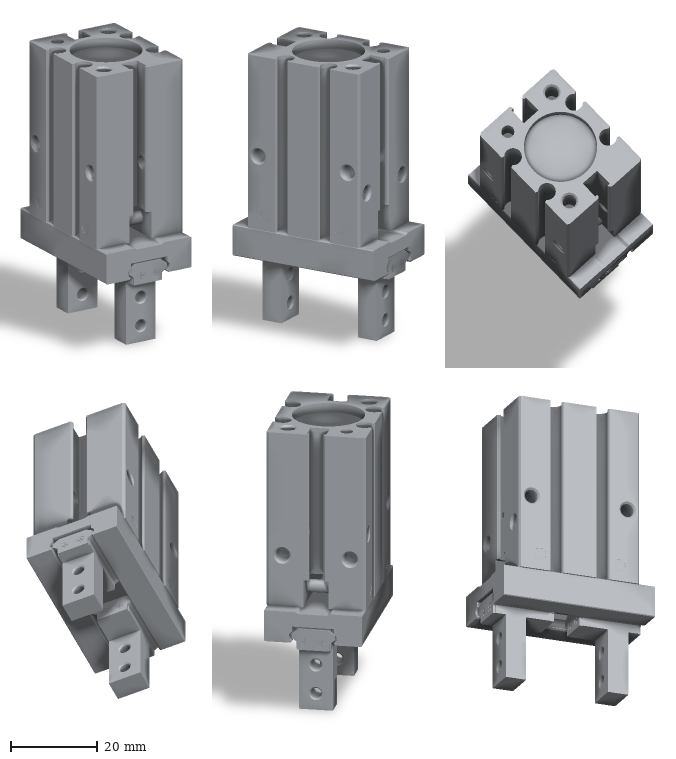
import cadquery as cq
import math

TOTAL_HEIGHT = 67.3
HOUSING_LENGTH = 30.35
HOUSING_WIDTH = 23.6
CORNER_X = 0.4
CORNER_Y = 0.7

BASE_LENGTH = 38.0
BASE_WIDTH = 23.2
BASE_BOTTOM = 17.3
BASE_TOP = 24.85
BASE_CHAMFER = 0.2
RELIEF_TOP_WIDTH = 8.2
RELIEF_FLOOR_WIDTH = 6.85
RELIEF_DEPTH = 0.4

GUIDE_WIDTH = 9.95
GUIDE_TOP = 21.3
GUIDE_CHAMFER = 0.35
RACE_Z = 18.9
RACE_HEIGHT = 2.15
RACE_DEPTH = 0.7

BORE_DIAMETER = 17.0
BORE_DEPTH = 2.3
WINDOW_WIDTH = 6.0
WINDOW_TOP = 31.5
PIN_DIAMETER = 3.0
PIN_X = 10.0
PIN_Z = 28.6
PIN_INSET = 0.1

SENSOR_DIAMETER = 4.1
SENSOR_X = 5.8
SENSOR_Y = 9.7
SENSOR_NECK_WIDTH = 2.8
SENSOR_MOUTH_WIDTH = 3.3

T_SLOT_FLOOR_X = 10.0
T_SLOT_WIDTH = 4.6
T_SLOT_LIP = 0.9
T_SLOT_NECK_WIDTH = 3.35
T_SLOT_MOUTH_WIDTH = 4.2
T_SLOT_FLARE = 0.4

THREAD_DIAMETER = 3.2
THREAD_SINK_DIAMETER = 4.1
SIDE_HOLE_X = 12.05
SIDE_HOLE_Z = 42.8
PORT_Y = 8.0
PORT_Z = 37.3
PORT_DEPTH = 5.4
TOP_HOLE_X = 11.05
TOP_HOLE_Y = 7.5
TOP_HOLE_DEPTH = 8.1
DOWEL_DIAMETER = 3.0
DOWEL_Y = 6.45
DOWEL_DEPTH = 6.05

RAIL_INNER_X = 3.2
RAIL_OUTER_X = 18.6
RAIL_BOTTOM = 15.55
RAIL_TOP = 20.85
FINGER_WIDTH = 8.1
JAW_INNER_X = 10.3
JAW_OUTER_X = 15.4
END_STEP = 0.7
END_INSET = 0.2
END_TOP = 20.65
WING_TIP_WIDTH = 10.35
WING_TIP_HEIGHT = 1.1
WING_SLOPE = 0.7
BEAD_DIAMETER = 1.55
JAW_HOLE_DIAMETER = 2.6
JAW_HOLE_SINK_DIAMETER = 3.2
JAW_HOLE_HEIGHTS = (4.0, 11.0)
SCREW_DIAMETER = 2.5
SCREW_Y = 2.0
SCREW_Z = 17.55
SCREW_INSET = 0.1
CROSS_LENGTH = 1.55
CROSS_WIDTH = 0.4
CROSS_DEPTH = 0.2

SIDES = (-1, 1)


def box(x_range, y_range, z_range):
    """Axis-aligned box between pairs of coordinates."""
    (x0, x1), (y0, y1), (z0, z1) = x_range, y_range, z_range
    return cq.Workplane("XY").box(x1 - x0, y1 - y0, z1 - z0, centered=False).translate((x0, y0, z0))


def cylinder(diameter, length, start, direction):
    """Cylinder from a start point along a direction."""
    rod = cq.Solid.makeCylinder(diameter / 2, length, cq.Vector(*start), cq.Vector(*direction))
    return cq.Workplane(rod)


def countersink(outer_diameter, hole_diameter, start, direction):
    """45 degree cone that opens a hole from its mouth inward."""
    outer_radius = outer_diameter / 2
    inner_radius = hole_diameter / 2
    depth = outer_radius - inner_radius
    cone = cq.Solid.makeCone(outer_radius, inner_radius, depth, cq.Vector(*start), cq.Vector(*direction))
    return cq.Workplane(cone)


def threaded_hole(depth, start, direction):
    """Hole with a countersunk mouth."""
    hole = cylinder(THREAD_DIAMETER, depth, start, direction)
    return hole.union(countersink(THREAD_SINK_DIAMETER, THREAD_DIAMETER, start, direction))


def x_prism(points, x0, x1):
    """Closed outline of (y, z) points swept from x0 to x1."""
    return cq.Workplane("YZ").workplane(offset=x0).polyline(points).close().extrude(x1 - x0)


def z_prism(points, z0, z1):
    """Closed outline of (x, y) points swept from z0 to z1."""
    return cq.Workplane("XY").workplane(offset=z0).polyline(points).close().extrude(z1 - z0)


def housing_column():
    half_x = HOUSING_LENGTH / 2
    half_y = HOUSING_WIDTH / 2
    outline = [
        (half_x, half_y - CORNER_Y), (half_x - CORNER_X, half_y),
        (-half_x + CORNER_X, half_y), (-half_x, half_y - CORNER_Y),
        (-half_x, -half_y + CORNER_Y), (-half_x + CORNER_X, -half_y),
        (half_x - CORNER_X, -half_y), (half_x, -half_y + CORNER_Y),
    ]
    return z_prism(outline, BASE_TOP, TOTAL_HEIGHT)


def sensor_groove(x, side):
    """Round groove with a flared mouth on the front or back face."""
    neck = SENSOR_NECK_WIDTH / 2
    mouth = SENSOR_MOUTH_WIDTH / 2
    neck_y = SENSOR_Y + math.sqrt((SENSOR_DIAMETER / 2) ** 2 - neck ** 2)
    face_y = HOUSING_WIDTH / 2
    outline = [
        (x - neck, side * SENSOR_Y), (x - neck, side * neck_y), (x - mouth, side * face_y),
        (x + mouth, side * face_y), (x + neck, side * neck_y), (x + neck, side * SENSOR_Y),
    ]
    height = TOTAL_HEIGHT - BASE_TOP
    channel = cylinder(SENSOR_DIAMETER, height, (x, side * SENSOR_Y, BASE_TOP), (0, 0, 1))
    return channel.union(z_prism(outline, BASE_TOP, TOTAL_HEIGHT))


def t_slot(side):
    """T-slot with a flared mouth on one end face."""
    face_x = HOUSING_LENGTH / 2
    lip_x = face_x - T_SLOT_LIP
    half_profile = [
        (T_SLOT_FLOOR_X, T_SLOT_WIDTH / 2), (lip_x, T_SLOT_WIDTH / 2), (lip_x, T_SLOT_NECK_WIDTH / 2),
        (face_x - T_SLOT_FLARE, T_SLOT_NECK_WIDTH / 2), (face_x, T_SLOT_MOUTH_WIDTH / 2),
    ]
    outline = [(side * x, y) for x, y in half_profile]
    outline += [(side * x, -y) for x, y in reversed(half_profile)]
    return z_prism(outline, BASE_TOP, TOTAL_HEIGHT)


def guide_base():
    """Foot with a trough on top and a grooved guideway underneath."""
    half_x = BASE_LENGTH / 2
    half_y = BASE_WIDTH / 2
    base = box((-half_x, half_x), (-half_y, half_y), (BASE_BOTTOM, BASE_TOP))
    base = base.edges("|X").chamfer(BASE_CHAMFER)

    relief_top = RELIEF_TOP_WIDTH / 2
    relief_floor = RELIEF_FLOOR_WIDTH / 2
    floor_z = BASE_TOP - RELIEF_DEPTH
    relief = [
        (-relief_top, BASE_TOP), (-relief_floor, floor_z),
        (relief_floor, floor_z), (relief_top, BASE_TOP),
    ]

    wall = GUIDE_WIDTH / 2
    race_top = RACE_Z + RACE_HEIGHT / 2
    race_bottom = RACE_Z - RACE_HEIGHT / 2
    mouth = wall + GUIDE_CHAMFER
    lip_z = BASE_BOTTOM + GUIDE_CHAMFER
    guideway = (
        cq.Workplane("YZ").workplane(offset=-half_x)
        .moveTo(-mouth, BASE_BOTTOM).lineTo(-wall, lip_z).lineTo(-wall, race_bottom)
        .threePointArc((-wall - RACE_DEPTH, RACE_Z), (-wall, race_top))
        .lineTo(-wall, GUIDE_TOP).lineTo(wall, GUIDE_TOP).lineTo(wall, race_top)
        .threePointArc((wall + RACE_DEPTH, RACE_Z), (wall, race_bottom))
        .lineTo(wall, lip_z).lineTo(mouth, BASE_BOTTOM).close()
        .extrude(BASE_LENGTH)
    )
    return base.cut(x_prism(relief, -half_x, half_x)).cut(guideway)


def make_housing():
    half_x = HOUSING_LENGTH / 2
    half_y = HOUSING_WIDTH / 2
    column = housing_column()

    for side in SIDES:
        column = column.cut(t_slot(side))
        for x in (-SENSOR_X, SENSOR_X):
            column = column.cut(sensor_groove(x, side))

    column = column.cut(cylinder(BORE_DIAMETER, BORE_DEPTH, (0, 0, TOTAL_HEIGHT), (0, 0, -1)))
    half_window = WINDOW_WIDTH / 2
    column = column.cut(box((-half_x, half_x), (-half_window, half_window), (BASE_TOP, WINDOW_TOP)))

    for x in (-SIDE_HOLE_X, SIDE_HOLE_X):
        for side in SIDES:
            column = column.cut(threaded_hole(half_y, (x, side * half_y, SIDE_HOLE_Z), (0, -side, 0)))

    for y in (-PORT_Y, PORT_Y):
        column = column.cut(threaded_hole(PORT_DEPTH, (-half_x, y, PORT_Z), (1, 0, 0)))

    for side in SIDES:
        start = (side * TOP_HOLE_X, -side * TOP_HOLE_Y, TOTAL_HEIGHT)
        column = column.cut(threaded_hole(TOP_HOLE_DEPTH, start, (0, 0, -1)))
    dowel_start = (-TOP_HOLE_X, -DOWEL_Y, TOTAL_HEIGHT)
    column = column.cut(cylinder(DOWEL_DIAMETER, DOWEL_DEPTH, dowel_start, (0, 0, -1)))

    for x in (-PIN_X, PIN_X):
        column = column.union(cylinder(PIN_DIAMETER, WINDOW_WIDTH, (x, -half_window, PIN_Z), (0, 1, 0)))
        for side in SIDES:
            column = column.cut(cylinder(PIN_DIAMETER, PIN_INSET, (x, side * half_y, PIN_Z), (0, -side, 0)))

    return column.union(guide_base())


def winged_profile():
    """Winged (y, z) outline of the rail, narrower and lower than its middle block."""
    neck = FINGER_WIDTH / 2 - END_INSET
    tip = WING_TIP_WIDTH / 2
    tip_top = RACE_Z + WING_TIP_HEIGHT / 2
    tip_bottom = RACE_Z - WING_TIP_HEIGHT / 2
    top_half_width = tip - (END_TOP - tip_top) / WING_SLOPE
    right_half = [
        (neck, RAIL_BOTTOM),
        (neck, tip_bottom - (tip - neck) * WING_SLOPE),
        (tip, tip_bottom),
        (tip, tip_top),
        (top_half_width, END_TOP),
    ]
    return right_half + [(-y, z) for y, z in reversed(right_half)]


def screw_recess(face_x, y, inward):
    """Shallow seat of a screw head with its cross-shaped driver recess."""
    start = (face_x, y, SCREW_Z)
    recess = cylinder(SCREW_DIAMETER, SCREW_INSET, start, (inward, 0, 0))
    for size_y, size_z in ((CROSS_LENGTH, CROSS_WIDTH), (CROSS_WIDTH, CROSS_LENGTH)):
        arm = cq.Workplane("XY").box(2 * CROSS_DEPTH, size_y, size_z).translate(start)
        recess = recess.union(arm)
    return recess


def make_finger(side):
    """Finger on the -X (side = -1) or +X (side = 1) half of the guideway."""
    rail_x = sorted((side * RAIL_INNER_X, side * RAIL_OUTER_X))
    jaw_x = sorted((side * JAW_INNER_X, side * JAW_OUTER_X))
    half_width = FINGER_WIDTH / 2

    finger = x_prism(winged_profile(), *rail_x)
    block_x = (rail_x[0] + END_STEP, rail_x[1] - END_STEP)
    finger = finger.union(box(block_x, (-half_width, half_width), (RAIL_BOTTOM, RAIL_TOP)))
    finger = finger.union(box(jaw_x, (-half_width, half_width), (0, RAIL_BOTTOM)))

    bead_y = GUIDE_WIDTH / 2 + RACE_DEPTH - BEAD_DIAMETER / 2
    for y in (-bead_y, bead_y):
        bead = cylinder(BEAD_DIAMETER, block_x[1] - block_x[0], (block_x[0], y, RACE_Z), (1, 0, 0))
        finger = finger.union(bead)

    for z in JAW_HOLE_HEIGHTS:
        finger = finger.cut(cylinder(JAW_HOLE_DIAMETER, jaw_x[1] - jaw_x[0], (jaw_x[0], 0, z), (1, 0, 0)))
        for x, inward in zip(jaw_x, (1, -1)):
            sink = countersink(JAW_HOLE_SINK_DIAMETER, JAW_HOLE_DIAMETER, (x, 0, z), (inward, 0, 0))
            finger = finger.cut(sink)

    for x, inward in zip(rail_x, (1, -1)):
        for y in (-SCREW_Y, SCREW_Y):
            finger = finger.cut(screw_recess(x, y, inward))
    return finger


housing = make_housing()
fingers = [make_finger(side) for side in SIDES]

finger_solids = [finger.solids().val() for finger in fingers]
result = cq.Compound.makeCompound([housing.solids().val(), *finger_solids])